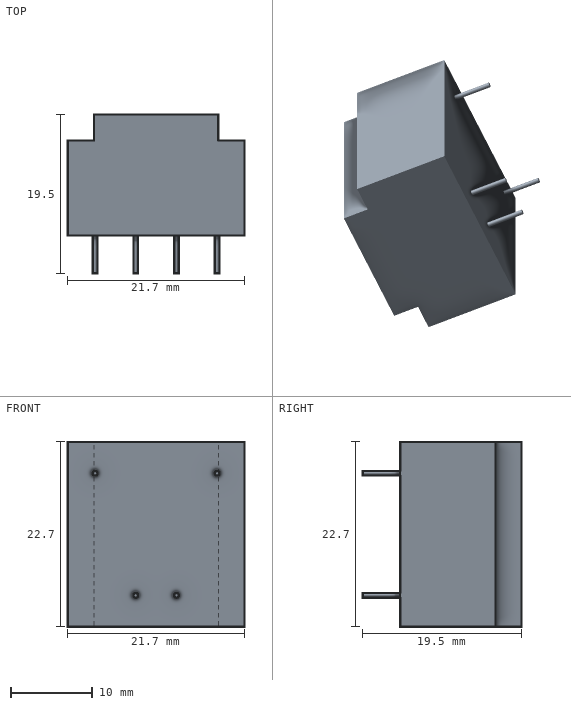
import cadquery as cq

body_width = 21.7
body_height = 22.7
total_depth = 19.5
pin_length = 4.6
body_depth = total_depth - pin_length

step_width = 3.2
step_depth = 3.2

pin_diameter = 0.6
pin_pitch = 5.0
row_offset = 1.5 * pin_pitch
upper_pin_x = 1.5 * pin_pitch
lower_pin_x = 0.5 * pin_pitch
pin_positions = [
    (-upper_pin_x, row_offset),
    (upper_pin_x, row_offset),
    (-lower_pin_x, -row_offset),
    (lower_pin_x, -row_offset),
]


def make_body():
    """Wide block with a narrower full-height block behind it; -Y face at Y = 0."""
    wide_depth = body_depth - step_depth
    narrow_width = body_width - 2 * step_width
    wide = cq.Workplane("XY").box(body_width, wide_depth, body_height, centered=(True, False, True))
    narrow = cq.Workplane("XY").box(narrow_width, body_depth, body_height, centered=(True, False, True))
    return wide.union(narrow)


def make_pins():
    """Round pins standing out from the -Y face."""
    return cq.Workplane("XZ").pushPoints(pin_positions).circle(pin_diameter / 2).extrude(pin_length)


result = make_body().union(make_pins())